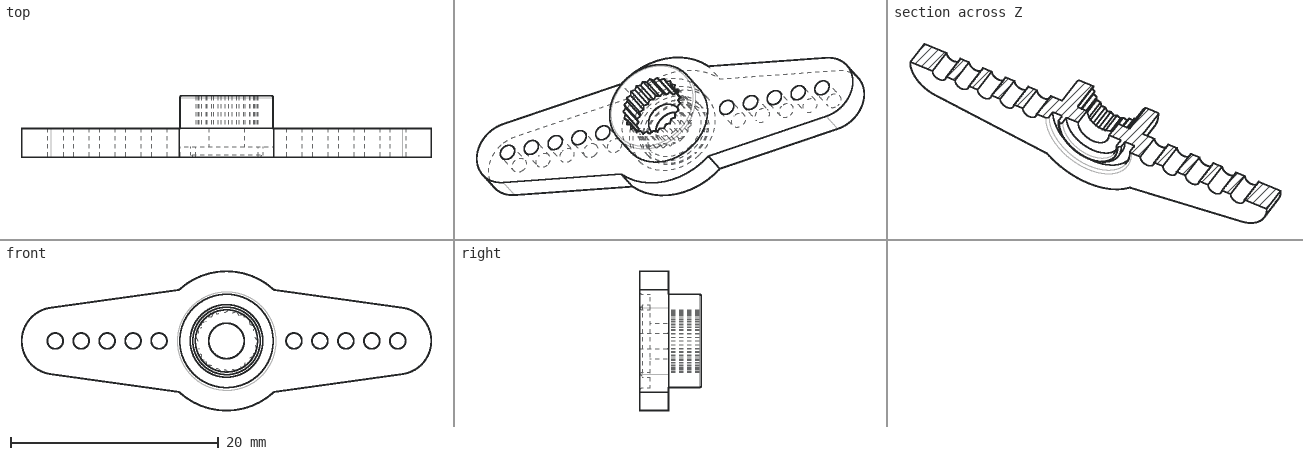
import cadquery as cq
import math


PLATE_THICKNESS = 2.8
HUB_RADIUS = 13.45 / 2
ARM_JOINT_X = 4.575
TIP_CENTRE_X = 16.5
TIP_RADIUS = 3.24

LINK_HOLE_DIAMETER = 1.5
LINK_HOLE_PITCH = 2.5
LINK_HOLES_PER_ARM = 5

OVERALL_DEPTH = 5.95
BOSS_DIAMETER = 9.0
BOSS_FILLET = 0.2

RECESS_DIAMETER = 9.0
RECESS_DEPTH = 1.0
RIM_FILLET = 0.25
COLLAR_DIAMETER = 7.0
SEAT_DIAMETER = 6.0
SEAT_DEPTH = RECESS_DEPTH
CREST_FILLET = (COLLAR_DIAMETER - SEAT_DIAMETER) / 4
SCREW_HOLE_DIAMETER = 3.4

SPLINE_TEETH = 25
SPLINE_ROOT_RADIUS = 3.0
SPLINE_TIP_RADIUS = 2.75
SOCKET_DEPTH = 3.15


def cylinder(diameter, start_y, end_y):
    """Solid cylinder on the Y axis between two depths."""
    disc = cq.Workplane("XZ", origin=(0, start_y, 0)).circle(diameter / 2)
    return disc.extrude(start_y - end_y)


def make_plate():
    """Hub disc with two tapered arms whose edges run tangent into the round tips."""
    joint_z = math.sqrt(HUB_RADIUS**2 - ARM_JOINT_X**2)
    run = TIP_CENTRE_X - ARM_JOINT_X
    joint_to_centre = math.hypot(run, joint_z)
    taper = math.atan2(joint_z, run) - math.asin(TIP_RADIUS / joint_to_centre)
    tangent_x = TIP_CENTRE_X + TIP_RADIUS * math.sin(taper)
    tangent_z = TIP_RADIUS * math.cos(taper)
    tip_x = TIP_CENTRE_X + TIP_RADIUS
    outline = (
        cq.Workplane("XZ")
        .moveTo(-ARM_JOINT_X, joint_z)
        .threePointArc((0, HUB_RADIUS), (ARM_JOINT_X, joint_z))
        .lineTo(tangent_x, tangent_z)
        .threePointArc((tip_x, 0), (tangent_x, -tangent_z))
        .lineTo(ARM_JOINT_X, -joint_z)
        .threePointArc((0, -HUB_RADIUS), (-ARM_JOINT_X, -joint_z))
        .lineTo(-tangent_x, -tangent_z)
        .threePointArc((-tip_x, 0), (-tangent_x, tangent_z))
        .close()
    )
    return outline.extrude(-PLATE_THICKNESS)


def make_boss():
    """Rear boss with a rounded end edge."""
    boss = cylinder(BOSS_DIAMETER, PLATE_THICKNESS, OVERALL_DEPTH)
    return boss.faces(">Y").fillet(BOSS_FILLET)


def make_link_holes():
    """Rows of linkage holes, the outermost one concentric with each arm tip."""
    centres = []
    for side in (-1, 1):
        for index in range(LINK_HOLES_PER_ARM):
            centres.append((side * (TIP_CENTRE_X - index * LINK_HOLE_PITCH), 0))
    holes = cq.Workplane("XZ").pushPoints(centres).circle(LINK_HOLE_DIAMETER / 2)
    return holes.extrude(-PLATE_THICKNESS)


def make_front_recess():
    """Ring-shaped recess with a rounded mouth, leaving the collar standing with a rounded crest."""
    recess_radius = RECESS_DIAMETER / 2
    collar_radius = COLLAR_DIAMETER / 2
    seat_radius = SEAT_DIAMETER / 2
    crest_radius = collar_radius - CREST_FILLET
    profile = (
        cq.Workplane("XY")
        .moveTo(0, 0)
        .lineTo(0, SEAT_DEPTH)
        .lineTo(seat_radius, SEAT_DEPTH)
        .lineTo(seat_radius, CREST_FILLET)
        .tangentArcPoint((crest_radius, 0), relative=False)
        .radiusArc((collar_radius, CREST_FILLET), CREST_FILLET)
        .lineTo(collar_radius, RECESS_DEPTH)
        .lineTo(recess_radius, RECESS_DEPTH)
        .lineTo(recess_radius, RIM_FILLET)
        .tangentArcPoint((recess_radius + RIM_FILLET, 0), relative=False)
        .close()
    )
    return profile.revolve(360, (0, 0, 0), (0, 1, 0))


def make_spline_socket():
    """Blind socket with V-shaped teeth for the servo shaft."""
    points = []
    for step in range(2 * SPLINE_TEETH):
        angle = math.pi * step / SPLINE_TEETH
        radius = SPLINE_TIP_RADIUS if step % 2 else SPLINE_ROOT_RADIUS
        points.append((radius * math.cos(angle), radius * math.sin(angle)))
    socket = cq.Workplane("XZ", origin=(0, OVERALL_DEPTH, 0)).polyline(points).close()
    return socket.extrude(SOCKET_DEPTH)


result = (
    make_plate()
    .union(make_boss())
    .cut(make_link_holes())
    .cut(make_front_recess())
    .cut(cylinder(SCREW_HOLE_DIAMETER, 0, OVERALL_DEPTH))
    .cut(make_spline_socket())
)